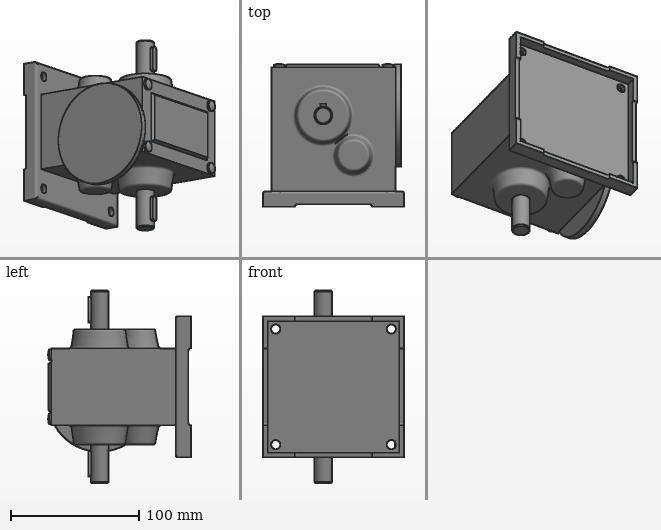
import cadquery as cq
import math


flange_size = 110.0
flange_thickness = 12.0
flange_edge_radius = 2.0
rim_width = 3.75
pocket_depth = 8.0
notch_length = 60.0
notch_depth = 2.0
mount_hole_diameter = 7.0
mount_hole_pitch = 90.0

housing_width = 96.8
housing_length = 96.8
housing_height = 60.0
housing_back = flange_thickness + housing_length

shaft_x = -8.0
shaft_y = 71.2
shaft_diameter = 14.0
shaft_length = 150.0
shaft_chamfer = 1.0
key_width = 5.0
key_length = 20.0
key_top = 9.0
key_end_gap = 5.0

boss_height = 15.0
shaft_boss_base_radius = 24.0
shaft_boss_top_radius = 18.4
side_boss_x = 15.5
side_boss_y = 40.2
side_boss_base_radius = 16.8
side_boss_top_radius = 10.5
boss_fillet_radius = 2.0

disc_radius = 39.9
disc_thickness = 5.0
disc_outer_x = 52.6
disc_z = -10.7

cover_width = 74.0
cover_height = 39.0
cover_thickness = 2.2
cover_bevel = 1.6
cover_x = -0.6
screw_pitch_x = 84.6
screw_pitch_z = 50.0
screw_head_diameter = 8.4
screw_rim_height = 1.7
total_length = 111.38
screw_head_height = total_length - housing_back


def block(size_x, y_start, y_end, size_z):
    """Box centred on X = Z = 0 between two Y positions."""
    middle = (0, (y_start + y_end) / 2, 0)
    return cq.Workplane("XY").box(size_x, y_end - y_start, size_z).translate(middle)


def notch():
    """Groove along Z across the flange front, with a quarter-round inner corner at each end."""
    r = notch_depth
    half = notch_length / 2
    reach = r * math.sin(math.pi / 4)
    profile = (
        cq.Workplane("XY")
        .moveTo(-half, 0)
        .threePointArc((r - half - reach, reach), (r - half, r))
        .lineTo(half - r, r)
        .threePointArc((half - r + reach, reach), (half, 0))
        .close()
    )
    return profile.extrude(flange_size / 2, both=True)


def make_flange():
    flange = block(flange_size, 0, flange_thickness, flange_size)
    flange = flange.faces(">Y").edges().fillet(flange_edge_radius)
    pocket_size = flange_size - 2 * rim_width
    flange = flange.cut(block(pocket_size, 0, pocket_depth, pocket_size))
    flange = flange.cut(notch())
    flange = flange.cut(notch().rotate((0, 0, 0), (0, 1, 0), 90))
    holes = (
        cq.Workplane("XZ")
        .rect(mount_hole_pitch, mount_hole_pitch, forConstruction=True)
        .vertices()
        .circle(mount_hole_diameter / 2)
        .extrude(-flange_thickness)
    )
    return flange.cut(holes)


def make_boss(x, y, base_radius, top_radius):
    """Tapered round boss on the +Z side, filleted at the base and rounded at the top."""
    r = boss_fillet_radius
    z_base = housing_height / 2
    z_top = z_base + boss_height
    base_center = (base_radius, z_base + r)
    top_center = (top_radius, z_top - r)
    run = base_center[0] - top_center[0]
    rise = top_center[1] - base_center[1]
    draft = math.atan2(run, rise) - math.asin(2 * r / math.hypot(run, rise))

    def on_arc(center, angle, side):
        return (
            center[0] + side * r * math.cos(angle),
            center[1] + side * r * math.sin(angle),
        )

    mid_angle = (math.pi / 2 + draft) / 2
    profile = (
        cq.Workplane("XZ")
        .moveTo(0, z_base)
        .lineTo(base_radius, z_base)
        .threePointArc(on_arc(base_center, mid_angle, -1), on_arc(base_center, draft, -1))
        .lineTo(*on_arc(top_center, draft, 1))
        .threePointArc(on_arc(top_center, mid_angle, 1), (top_radius, z_top))
        .lineTo(0, z_top)
        .close()
    )
    return profile.revolve(360, (0, 0, 0), (0, 1, 0)).translate((x, y, 0))


def make_shaft():
    shaft = cq.Workplane("XY").circle(shaft_diameter / 2).extrude(shaft_length / 2, both=True)
    shaft = shaft.faces("<Z or >Z").chamfer(shaft_chamfer)
    return shaft.translate((shaft_x, shaft_y, 0))


def make_key():
    """Round-ended key near the +Z end of the shaft."""
    key_z = shaft_length / 2 - key_end_gap - key_length / 2
    key = cq.Workplane("XZ").slot2D(key_length, key_width, 90).extrude(-key_top)
    return key.translate((shaft_x, shaft_y, key_z))


def make_disc():
    disc = cq.Workplane("YZ").circle(disc_radius).extrude(disc_thickness)
    return disc.translate((disc_outer_x - disc_thickness, shaft_y, disc_z))


def make_back_cover():
    """Rectangular plate whose four sides slope inward over its full thickness."""
    slope_angle = math.degrees(math.atan2(cover_bevel, cover_thickness))
    plate = cq.Workplane("XZ").rect(cover_width, cover_height).extrude(-cover_thickness, taper=slope_angle)
    return plate.translate((cover_x, housing_back, 0))


def make_screw_head():
    """Domed screw head standing on the housing back."""
    radius = screw_head_diameter / 2
    dome_height = screw_head_height - screw_rim_height
    sphere_radius = (radius**2 + dome_height**2) / (2 * dome_height)
    half_angle = math.asin(radius / sphere_radius) / 2
    dome_middle = (
        sphere_radius * math.sin(half_angle),
        screw_head_height - sphere_radius * (1 - math.cos(half_angle)),
    )
    head = (
        cq.Workplane("XY")
        .lineTo(radius, 0)
        .lineTo(radius, screw_rim_height)
        .threePointArc(dome_middle, (0, screw_head_height))
        .close()
        .revolve(360, (0, 0, 0), (0, 1, 0))
    )
    return head.translate((0, housing_back, 0))


result = make_flange().union(block(housing_width, flange_thickness, housing_back, housing_height))

upper_parts = [
    make_boss(shaft_x, shaft_y, shaft_boss_base_radius, shaft_boss_top_radius),
    make_boss(side_boss_x, side_boss_y, side_boss_base_radius, side_boss_top_radius),
    make_key(),
]
for upper_part in upper_parts:
    result = result.union(upper_part)
    result = result.union(upper_part.mirror("XY"))

result = result.union(make_shaft())
result = result.union(make_disc())
result = result.union(make_back_cover())

for x_side in (-1, 1):
    for z_side in (-1, 1):
        corner = (x_side * screw_pitch_x / 2, 0, z_side * screw_pitch_z / 2)
        result = result.union(make_screw_head().translate(corner))